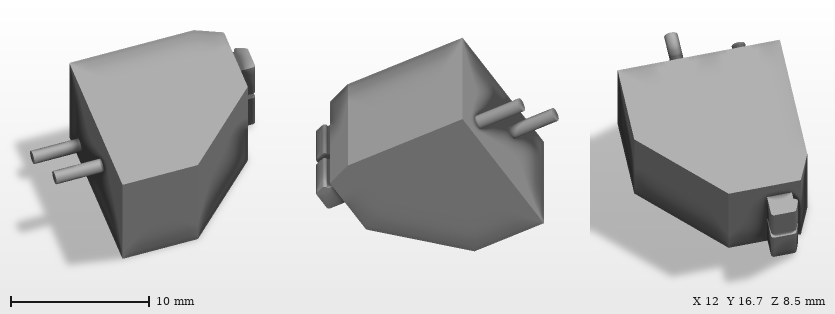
import cadquery as cq

WIDTH = 12.0
LENGTH = 16.7
HEIGHT = 8.5
POLE_COUNT = 2
POLE_PITCH = 3.5
PIN_LENGTH = 3.6
HOUSING_DEPTH = 11.52
BACK_Y = PIN_LENGTH + HOUSING_DEPTH
END_PLATE_THICKNESS = HEIGHT - POLE_COUNT * POLE_PITCH

LEFT_BEVEL_X = 0.9
LEFT_BEVEL_Y = 2.0
RIGHT_BEVEL = 5.76

PIN_DIAMETER = 1.0
FIRST_PIN_X = 2.3
PIN_STAGGER = 5.0

BUTTON_LEFT = 1.57
BUTTON_RIGHT = 3.4
BUTTON_HEIGHT = 3.0
BUTTON_LIFT = 0.33
BUTTON_PROJECTION = LENGTH - BACK_Y
HOOK_OVERHANG = 0.38
HOOK_UNDERSIDE = 0.55
HOOK_TOP_OFFSET = 0.02
BUTTON_RADIUS = 0.22


def housing_slice(base_z, thickness):
    """One slice of the stack with the bevelled housing outline."""
    outline = [
        (0, 0),
        (WIDTH, 0),
        (WIDTH, HOUSING_DEPTH - RIGHT_BEVEL),
        (WIDTH - RIGHT_BEVEL, HOUSING_DEPTH),
        (LEFT_BEVEL_X, HOUSING_DEPTH),
        (0, HOUSING_DEPTH - LEFT_BEVEL_Y),
    ]
    return (
        cq.Workplane("XY", origin=(0, PIN_LENGTH, base_z))
        .polyline(outline)
        .close()
        .extrude(thickness)
    )


def solder_pin(pole):
    """Round pin on the mid-height of its pole, ending on the housing front."""
    x = FIRST_PIN_X + pole * PIN_STAGGER
    z = (pole + 0.5) * POLE_PITCH
    return (
        cq.Workplane("XZ", origin=(x, PIN_LENGTH, z))
        .circle(PIN_DIAMETER / 2)
        .extrude(PIN_LENGTH)
    )


def push_button(pole):
    """Button with a sloping, rounded hook on its left side."""
    hook_left = BUTTON_LEFT - HOOK_OVERHANG
    hook_top = BUTTON_LEFT + HOOK_TOP_OFFSET
    outline = [
        (BUTTON_LEFT, 0),
        (BUTTON_RIGHT, 0),
        (BUTTON_RIGHT, BUTTON_PROJECTION),
        (hook_top, BUTTON_PROJECTION),
        (hook_left, HOOK_UNDERSIDE),
        (BUTTON_LEFT, HOOK_UNDERSIDE),
    ]
    button = (
        cq.Workplane("XY", origin=(0, BACK_Y, pole * POLE_PITCH + BUTTON_LIFT))
        .polyline(outline)
        .close()
        .extrude(BUTTON_HEIGHT)
    )
    button = button.faces(">Y").edges("|Z").fillet(BUTTON_RADIUS)
    hook_tip = cq.selectors.NearestToPointSelector(
        (hook_left, BACK_Y + HOOK_UNDERSIDE, pole * POLE_PITCH + BUTTON_LIFT + BUTTON_HEIGHT / 2)
    )
    return button.edges(hook_tip).fillet(BUTTON_RADIUS)


poles = range(POLE_COUNT)
pole_housings = [housing_slice(pole * POLE_PITCH, POLE_PITCH) for pole in poles]
end_plate = housing_slice(POLE_COUNT * POLE_PITCH, END_PLATE_THICKNESS)
pins = [solder_pin(pole) for pole in poles]
buttons = [push_button(pole) for pole in poles]

bodies = [*pole_housings, end_plate, *pins, *buttons]
result = cq.Compound.makeCompound([body.val() for body in bodies])